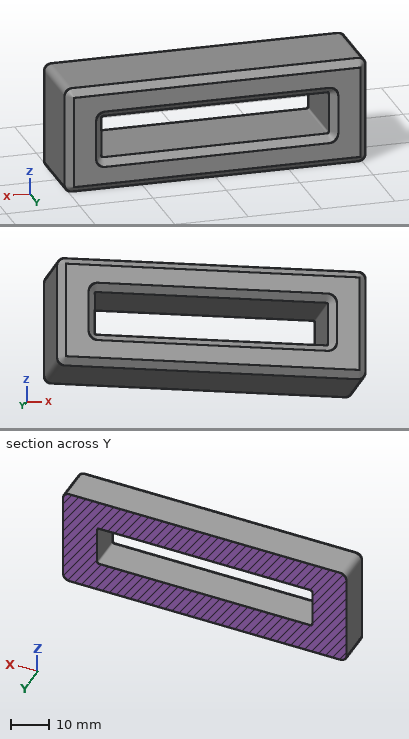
import cadquery as cq

length = 82.0
depth = 23.0
height = 29.0
corner_radius = 2.0

corner_tip_radius = 0.001
edge_chamfer = corner_radius - corner_tip_radius

slot_length = 62.0
slot_height = 11.5
slot_corner_radius = 0.5
slot_chamfer = 2.0


def rounded_bar(bar_length, bar_height, radius):
    """Rectangular bar, centred on the origin, with its edges along Y rounded."""
    bar = cq.Workplane("XY").box(bar_length, depth, bar_height)
    return bar.edges("|Y").fillet(radius)


def chamfered_block():
    """Outer block with both Y faces chamfered all round."""
    block = rounded_bar(length, height, corner_radius)
    return block.faces("<Y or >Y").edges().chamfer(edge_chamfer)


def cut_slot(block):
    """Cut the through slot and chamfer its mouth on both Y faces."""
    slotted = block.cut(rounded_bar(slot_length, slot_height, slot_corner_radius))
    shortest_wires = cq.selectors.LengthNthSelector(0)
    mouths = slotted.faces("<Y or >Y").wires(shortest_wires)
    return mouths.chamfer(slot_chamfer)


result = cut_slot(chamfered_block())